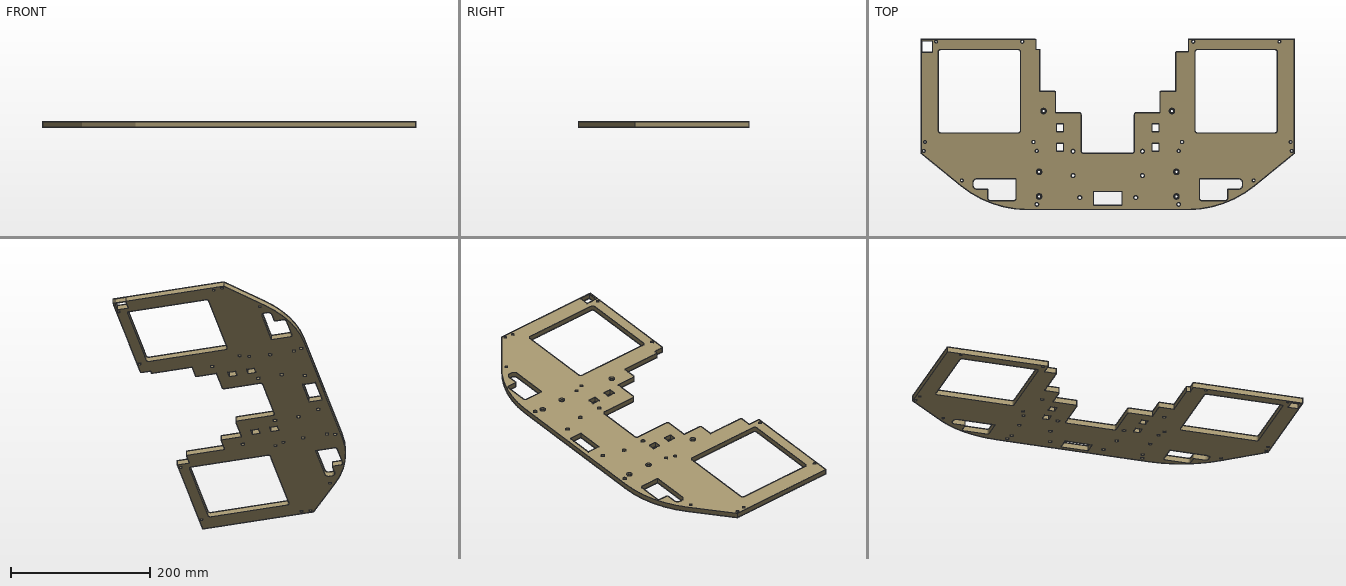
import cadquery as cq
import math

LENGTH = 536.0
WIDTH = 245.0
THICKNESS = 8.0
HALF_LENGTH = LENGTH / 2
BACK_Y = WIDTH / 2
FRONT_Y = -WIDTH / 2
NOTCH_CORNER = 3.0
STEP_CORNER = 1.5

FRONT_ARC_RADIUS = 153.5
FRONT_ARC_ANGLE = math.radians(39.2)
FRONT_ARC_START_X = 114.0

NOTCH_HALF_WIDTH = 38.0
NOTCH_FLOOR_Y = -41.0
INNER_STEP_X = 75.0
INNER_STEP_Y = 17.0
OUTER_STEP_X = 97.5
OUTER_STEP_Y = 47.5
LEFT_BACK_STEP = (-103.0, 107.5)
RIGHT_BACK_STEP = (116.0, 104.5)

WINDOW_CENTER = (184.5, 47.5)
WINDOW_SIZE = (118.0, 119.5)
WINDOW_CORNER = 3.0

OPENING_INNER_X = 132.0
OPENING_STEP_X = 172.0
OPENING_OUTER_X = 193.5
OPENING_BACK_Y = -78.0
OPENING_STEP_Y = -92.5
OPENING_FRONT_Y = -109.5
OPENING_END_CORNER = 5.5
OPENING_CORNER = 3.0

CENTER_SLOT_Y = -106.0
CENTER_SLOT_SIZE = (40.5, 19.5)
SMALL_WINDOW_X = 68.5
SMALL_WINDOW_ROWS = (-5.0, -32.5)
SMALL_WINDOW_SIZE = (9.5, 11.0)

POCKET_SIZE = (15.0, 16.0)
POCKET_SIDE_WALL = 1.0
POCKET_BACK_WALL = 2.5

HOLES = {
    3.8: [(246.5, 119.0), (262.5, -25.0), (264.0, -38.0), (209.5, -80.5)],
    4.5: [(122.5, 119.0), (106.5, -25.0), (102.0, -38.0)],
    5.05: [(102.0, -114.5)],
    5.5: [(50.0, -38.5), (50.0, -73.5), (40.0, -105.0)],
}
COUNTERSINKS = [(92.0, 19.5), (98.5, -68.0), (98.5, -103.5)]
COUNTERSINK_DIAMETER = 8.0
COUNTERSINK_ANGLE = 90
COUNTERSINK_BORE = 4.95


def mirrored(points):
    """Return the points together with their mirror images about the YZ plane."""
    return points + [(-x, y) for x, y in points]


def plate():
    """Full-thickness plate with the stepped back edge and rounded front corners."""
    arc_rise = FRONT_ARC_RADIUS * (1 - math.cos(FRONT_ARC_ANGLE))
    arc_end_x = FRONT_ARC_START_X + FRONT_ARC_RADIUS * math.sin(FRONT_ARC_ANGLE)
    arc_end_y = FRONT_Y + arc_rise
    bevel_end_y = arc_end_y + (HALF_LENGTH - arc_end_x) * math.tan(FRONT_ARC_ANGLE)
    half_angle = FRONT_ARC_ANGLE / 2
    arc_mid_x = FRONT_ARC_START_X + FRONT_ARC_RADIUS * math.sin(half_angle)
    arc_mid_y = FRONT_Y + FRONT_ARC_RADIUS * (1 - math.cos(half_angle))

    outline = (
        cq.Workplane("XY")
        .moveTo(-FRONT_ARC_START_X, FRONT_Y)
        .lineTo(FRONT_ARC_START_X, FRONT_Y)
        .threePointArc((arc_mid_x, arc_mid_y), (arc_end_x, arc_end_y))
        .lineTo(HALF_LENGTH, bevel_end_y)
        .lineTo(HALF_LENGTH, BACK_Y)
        .lineTo(RIGHT_BACK_STEP[0], BACK_Y)
        .lineTo(*RIGHT_BACK_STEP)
        .lineTo(OUTER_STEP_X, RIGHT_BACK_STEP[1])
        .lineTo(OUTER_STEP_X, OUTER_STEP_Y)
        .lineTo(INNER_STEP_X, OUTER_STEP_Y)
        .lineTo(INNER_STEP_X, INNER_STEP_Y)
        .lineTo(NOTCH_HALF_WIDTH, INNER_STEP_Y)
        .lineTo(NOTCH_HALF_WIDTH, NOTCH_FLOOR_Y)
        .lineTo(-NOTCH_HALF_WIDTH, NOTCH_FLOOR_Y)
        .lineTo(-NOTCH_HALF_WIDTH, INNER_STEP_Y)
        .lineTo(-INNER_STEP_X, INNER_STEP_Y)
        .lineTo(-INNER_STEP_X, OUTER_STEP_Y)
        .lineTo(-OUTER_STEP_X, OUTER_STEP_Y)
        .lineTo(-OUTER_STEP_X, LEFT_BACK_STEP[1])
        .lineTo(*LEFT_BACK_STEP)
        .lineTo(LEFT_BACK_STEP[0], BACK_Y)
        .lineTo(-HALF_LENGTH, BACK_Y)
        .lineTo(-HALF_LENGTH, bevel_end_y)
        .lineTo(-arc_end_x, arc_end_y)
        .threePointArc((-arc_mid_x, arc_mid_y), (-FRONT_ARC_START_X, FRONT_Y))
        .close()
    )
    return outline.extrude(THICKNESS)


def round_corners(body, corners, radius):
    """Round the vertical edges that stand at the given corner points."""
    for x, y in corners:
        nearest = cq.selectors.NearestToPointSelector((x, y, THICKNESS / 2))
        body = body.edges("|Z").edges(nearest).fillet(radius)
    return body


def rectangles(points, size):
    """Through-cutting blocks of one size centred on the points."""
    return cq.Workplane("XY").pushPoints(points).rect(*size).extrude(THICKNESS)


def front_opening():
    """Right-hand stepped opening with a rounded outer end."""
    block = (
        cq.Workplane("XY")
        .moveTo(OPENING_INNER_X, OPENING_BACK_Y)
        .lineTo(OPENING_OUTER_X, OPENING_BACK_Y)
        .lineTo(OPENING_OUTER_X, OPENING_STEP_Y)
        .lineTo(OPENING_STEP_X, OPENING_STEP_Y)
        .lineTo(OPENING_STEP_X, OPENING_FRONT_Y)
        .lineTo(OPENING_INNER_X, OPENING_FRONT_Y)
        .close()
        .extrude(THICKNESS)
    )
    block = block.edges("|Z and >X").fillet(OPENING_END_CORNER)
    block = block.edges("|Z and <Y").fillet(OPENING_CORNER)
    return round_corners(block, [(OPENING_STEP_X, OPENING_STEP_Y)], STEP_CORNER)


def corner_pocket():
    """Through pocket that leaves a thin side wall and back wall."""
    center = (
        -HALF_LENGTH + POCKET_SIDE_WALL + POCKET_SIZE[0] / 2,
        BACK_Y - POCKET_BACK_WALL - POCKET_SIZE[1] / 2,
    )
    return rectangles([center], POCKET_SIZE)


def round_holes(diameter, points):
    """Straight through holes."""
    return cq.Workplane("XY").pushPoints(points).circle(diameter / 2).extrude(THICKNESS)


def drill_countersinks(body, points):
    """Through bores with a conical seat in the top face."""
    return (
        body.faces(">Z")
        .workplane(origin=(0, 0, THICKNESS))
        .pushPoints(points)
        .cskHole(COUNTERSINK_BORE, COUNTERSINK_DIAMETER, COUNTERSINK_ANGLE)
    )


notch_corners = mirrored([(NOTCH_HALF_WIDTH, INNER_STEP_Y), (NOTCH_HALF_WIDTH, NOTCH_FLOOR_Y)])
step_corners = mirrored([(INNER_STEP_X, OUTER_STEP_Y)])
step_corners += [(OUTER_STEP_X, RIGHT_BACK_STEP[1]), (LEFT_BACK_STEP[0], BACK_Y)]

body = round_corners(plate(), notch_corners, NOTCH_CORNER)
body = round_corners(body, step_corners, STEP_CORNER)
body = body.cut(rectangles(mirrored([WINDOW_CENTER]), WINDOW_SIZE).edges("|Z").fillet(WINDOW_CORNER))
body = body.cut(front_opening())
body = body.cut(front_opening().mirror("YZ"))
body = body.cut(rectangles([(0, CENTER_SLOT_Y)], CENTER_SLOT_SIZE))
small_windows = mirrored([(SMALL_WINDOW_X, y) for y in SMALL_WINDOW_ROWS])
body = body.cut(rectangles(small_windows, SMALL_WINDOW_SIZE))
body = body.cut(corner_pocket())
for hole_diameter, hole_points in HOLES.items():
    body = body.cut(round_holes(hole_diameter, mirrored(hole_points)))

result = drill_countersinks(body, mirrored(COUNTERSINKS))